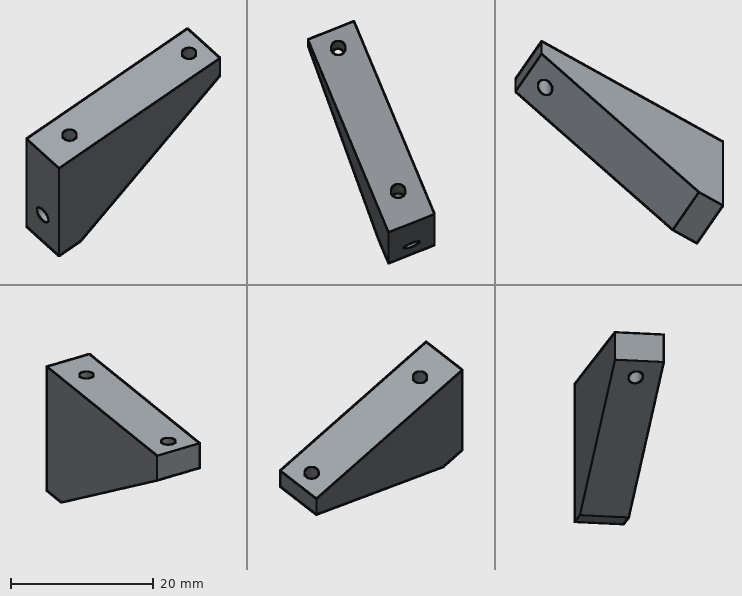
import cadquery as cq
import math

WIDTH = 7.0
LENGTH = 30.0
HEIGHT = 20.0
TIP_HEIGHT = 4.0
FOOT_LENGTH = 4.0

TOP_HOLE_DIAMETER = 2.013
FRONT_HOLE_DIAMETER = 2.459
DRILL_POINT_ANGLE = 118.0
TOP_HOLE_DEPTH = 6.0
FRONT_HOLE_DEPTH = 8.0
FRONT_HOLE_Z = 6.0
TOP_BLIND_HOLE_Y = 5.0
TOP_HOLE_SPACING = 22.25
TOP_THROUGH_HOLE_Y = TOP_BLIND_HOLE_Y + TOP_HOLE_SPACING


def make_body():
    """Triangular web with blunted corners, centred on X."""
    profile = [
        (0, 0),
        (FOOT_LENGTH, 0),
        (LENGTH, HEIGHT - TIP_HEIGHT),
        (LENGTH, HEIGHT),
        (0, HEIGHT),
    ]
    return cq.Workplane("YZ").polyline(profile).close().extrude(WIDTH / 2, both=True)


def make_drill(diameter, depth, entry, direction):
    """Cylinder of the given full-diameter depth that ends in a conical drill point."""
    radius = diameter / 2
    point_length = radius / math.tan(math.radians(DRILL_POINT_ANGLE / 2))
    start = cq.Vector(*entry)
    axis = cq.Vector(*direction)
    shank = cq.Solid.makeCylinder(radius, depth, start, axis)
    point = cq.Solid.makeCone(radius, 0, point_length, start + axis * depth, axis)
    return cq.Workplane(shank.fuse(point))


DOWN = (0, 0, -1)
INWARD = (0, 1, 0)

top_blind_hole = make_drill(TOP_HOLE_DIAMETER, TOP_HOLE_DEPTH, (0, TOP_BLIND_HOLE_Y, HEIGHT), DOWN)
top_through_hole = make_drill(TOP_HOLE_DIAMETER, HEIGHT, (0, TOP_THROUGH_HOLE_Y, HEIGHT), DOWN)
front_hole = make_drill(FRONT_HOLE_DIAMETER, FRONT_HOLE_DEPTH, (0, 0, FRONT_HOLE_Z), INWARD)

result = make_body().cut(top_blind_hole).cut(top_through_hole).cut(front_hole)